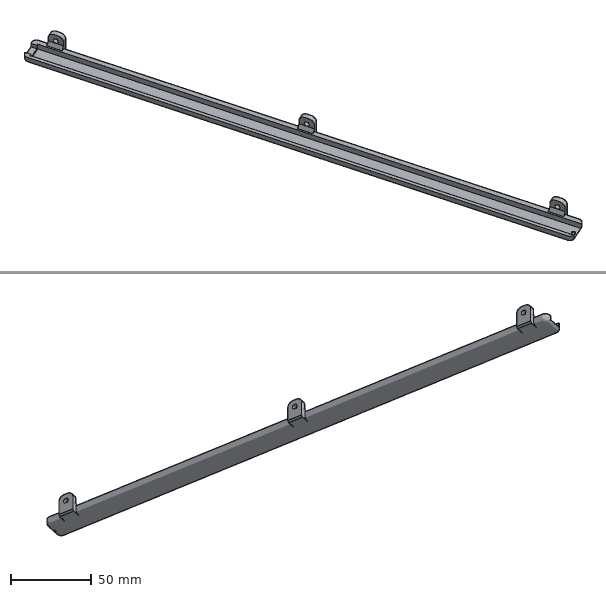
import cadquery as cq

length = 378.0
overall_depth = 20.0
overall_height = 15.0
tab_thickness = 3.5
rail_depth = overall_depth - tab_thickness
rail_height = 5.5
bottom_radius = 3.0
corner_radius = 3.5
front_y = -overall_depth / 2
back_y = front_y + rail_depth

front_lip = 2.3
back_lip = 3.5
floor_thickness = 1.5
end_length = 4.0
end_step = 1.0
channel_width = rail_depth - front_lip - back_lip
channel_y = front_y + front_lip + channel_width / 2

floor_hole_diameter = 2.5
floor_hole_inset = 3.0
floor_hole_depth = 0.8

tab_width = 10.5
tab_corner_radius = 4.0
tab_hole_diameter = 3.5
tab_hole_z = 10.0
tab_bottom_chamfer = 1.0
tab_pitch = 172.5
middle_tab_x = -1.5
gusset_size = 2.3


def box(size_x, size_y, size_z, center_x, center_y, bottom_z):
    return (
        cq.Workplane("XY")
        .box(size_x, size_y, size_z, centered=(True, True, False))
        .translate((center_x, center_y, bottom_z))
    )


def make_rail():
    rail = box(length, rail_depth, rail_height, 0, front_y + rail_depth / 2, 0)
    rail = rail.edges("|Z").fillet(corner_radius)
    rail = rail.faces("<Z").edges().fillet(bottom_radius)

    main_channel = box(length, channel_width, rail_height, end_length, channel_y, floor_thickness)
    end_channel = box(
        length, channel_width - 2 * end_step, rail_height, 0, channel_y, floor_thickness + end_step
    )
    floor_hole = (
        cq.Workplane("XY", origin=(0, 0, floor_thickness - floor_hole_depth))
        .center(length / 2 - floor_hole_inset, channel_y)
        .circle(floor_hole_diameter / 2)
        .extrude(rail_height)
    )
    return rail.cut(main_channel).cut(end_channel).cut(floor_hole)


def make_tab(center_x):
    """Tab with rounded top corners, a hanging hole and a sloped gusset onto the back lip."""
    tab = box(tab_width, tab_thickness, overall_height, center_x, back_y + tab_thickness / 2, 0)
    tab = tab.edges("|Y and >Z").fillet(tab_corner_radius)
    tab = tab.edges("<Z and >Y").chamfer(tab_bottom_chamfer)
    root = box(tab_width, bottom_radius, bottom_radius, center_x, back_y - bottom_radius / 2, 0)
    gusset = (
        cq.Workplane("YZ", origin=(center_x, 0, 0))
        .moveTo(back_y, rail_height)
        .lineTo(back_y - gusset_size, rail_height)
        .lineTo(back_y, rail_height + gusset_size)
        .close()
        .extrude(tab_width / 2, both=True)
    )
    hole = (
        cq.Workplane("XZ", origin=(center_x, back_y + tab_thickness, 0))
        .center(0, tab_hole_z)
        .circle(tab_hole_diameter / 2)
        .extrude(tab_thickness)
    )
    return tab.union(root).union(gusset).cut(hole)


result = make_rail()
for position in (-1, 0, 1):
    result = result.union(make_tab(middle_tab_x + position * tab_pitch))